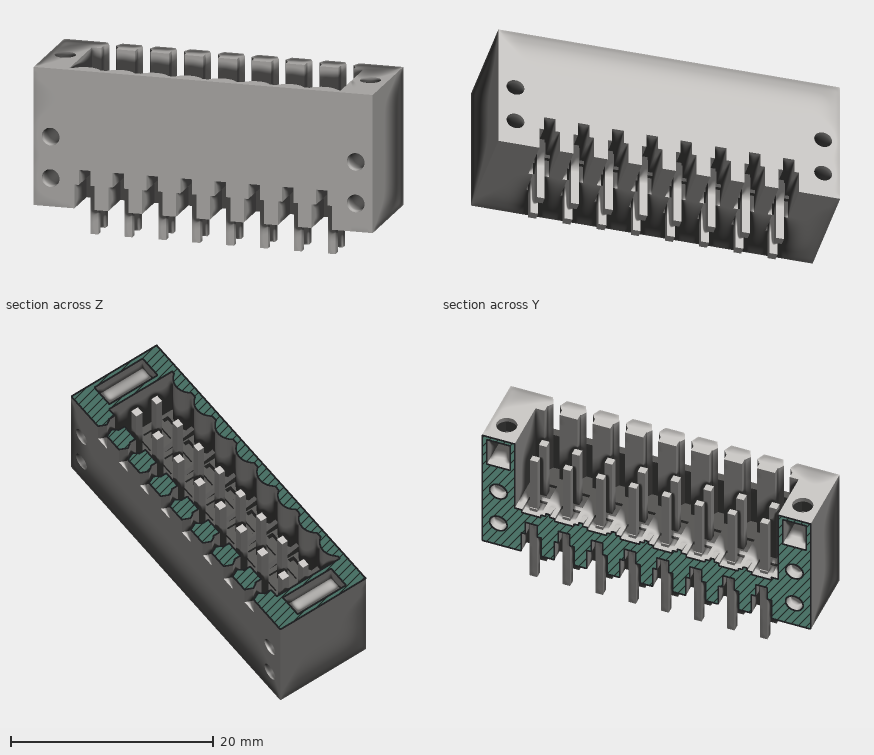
import cadquery as cq
length = 35.0
depth = 10.5
body_height = 14.2
tail_length = 3.5
pole_count = 8
pitch = 3.5

pocket_length = pole_count * pitch
pocket_front = -4.6
pocket_back = 3.1
floor_z = 5.6

slot_width = 1.58
slot_shoulder = 1.4
slot_waist = 0.7
slot_mouth = 1.47
slot_shoulder_y = 3.9
slot_waist_y = 4.4
mouth_depth = 4.2

bump_radius = 1.75
bump_top_y = -3.8

rib_width = 0.5
rib_end_y = -0.95
rib_height = 0.88

well_size = 2.0
well_depth = 0.35
groove_length = 2.73
groove_front = -3.78
groove_back = -3.08
groove_depth = 0.7

pin_size = 0.8
rear_row_y = 1.0
front_row_y = -1.47
pin_top_z = 11.9
pin_step = 0.1
row_ys = (rear_row_y, front_row_y)

wide_opening = 2.1
narrow_opening = 1.2
tall_height = 4.0
shoulder_height = 2.45
inner_height = 2.03
tunnel_height = 1.47

hole_x = 15.75
side_hole_diameter = 1.82
side_hole_heights = (2.9, 7.18)
top_hole_diameter = 2.1
top_hole_y = -0.2
top_hole_depth = 0.5
chamber_width = 2.45
chamber_length = 5.88
chamber_bottom_z = 10.5

front_face = -depth / 2
back_face = depth / 2
pole_xs = [(i - (pole_count - 1) / 2) * pitch for i in range(pole_count)]
gap_xs = [x + pitch / 2 for x in pole_xs[:-1]]


def block(x_mid, width, y_min, y_max, z_min, z_max):
    """Box centred on x_mid between the given Y and Z limits."""
    base = cq.Workplane("XY", origin=(x_mid, y_min, z_min))
    return base.box(width, y_max - y_min, z_max - z_min, centered=(True, False, False))


def coding_slot(x):
    """Hourglass slot: deep on the pocket side of its waist, shallower outside."""
    inner = (
        cq.Workplane("XY", origin=(x, 0, floor_z))
        .polyline(
            [
                (-slot_width / 2, pocket_back),
                (slot_width / 2, pocket_back),
                (slot_width / 2, slot_shoulder_y),
                (slot_shoulder / 2, slot_shoulder_y),
                (slot_waist / 2, slot_waist_y),
                (-slot_waist / 2, slot_waist_y),
                (-slot_shoulder / 2, slot_shoulder_y),
                (-slot_width / 2, slot_shoulder_y),
            ]
        )
        .close()
        .extrude(body_height - floor_z)
    )
    mouth = (
        cq.Workplane("XY", origin=(x, 0, body_height - mouth_depth))
        .polyline(
            [
                (-slot_waist / 2, slot_waist_y),
                (slot_waist / 2, slot_waist_y),
                (slot_mouth / 2, back_face),
                (-slot_mouth / 2, back_face),
            ]
        )
        .close()
        .extrude(mouth_depth)
    )
    return inner.union(mouth)


def wall_bump(x):
    """Round bump standing on the pocket side of the front wall."""
    cylinder = cq.Workplane("XY", origin=(x, bump_top_y - bump_radius, floor_z)).circle(bump_radius)
    cylinder = cylinder.extrude(body_height - floor_z)
    return cylinder.intersect(block(x, pitch, pocket_front, pocket_back, floor_z, body_height))


def wedge_rib(x):
    """Triangular rib sloping from the front wall down to the pocket floor."""
    return (
        cq.Workplane("YZ", origin=(x - rib_width / 2, 0, 0))
        .polyline([(pocket_front, floor_z), (rib_end_y, floor_z), (pocket_front, floor_z + rib_height)])
        .close()
        .extrude(rib_width)
    )


def front_opening(x):
    """Stepped opening that gives access to the pins from the front and below."""
    entry_end = front_row_y
    inner_end = front_row_y + pin_size / 2
    tunnel_end = rear_row_y + pin_size / 2
    upper = block(x, narrow_opening, front_face, entry_end, 0, tall_height)
    entry = block(x, wide_opening, front_face, entry_end, 0, shoulder_height)
    inner = block(x, wide_opening, entry_end, inner_end, 0, inner_height)
    tunnel = block(x, narrow_opening, inner_end, tunnel_end, 0, tunnel_height)
    return upper.union(entry).union(inner).union(tunnel)


body = block(0, length, front_face, back_face, 0, body_height)
body = body.cut(block(0, pocket_length, pocket_front, pocket_back, floor_z, body_height))

for x in pole_xs:
    body = body.cut(coding_slot(x))
    body = body.union(wall_bump(x))
    body = body.cut(block(x, groove_length, groove_front, groove_back, floor_z - groove_depth, floor_z))
    for y in row_ys:
        body = body.cut(
            block(x, well_size, y - well_size / 2, y + well_size / 2, floor_z - well_depth, floor_z)
        )
    body = body.cut(front_opening(x))

for x in gap_xs:
    body = body.union(wedge_rib(x))

for x in (-hole_x, hole_x):
    for z in side_hole_heights:
        body = body.cut(
            cq.Workplane("XZ", origin=(x, back_face, z)).circle(side_hole_diameter / 2).extrude(depth)
        )
    top_hole = cq.Workplane("XY", origin=(x, top_hole_y, body_height)).circle(top_hole_diameter / 2)
    body = body.cut(top_hole.extrude(-top_hole_depth))
    body = body.cut(
        block(
            x,
            chamber_width,
            top_hole_y - chamber_length / 2,
            top_hole_y + chamber_length / 2,
            chamber_bottom_z,
            body_height - top_hole_depth,
        )
    )

for x in pole_xs:
    for y in row_ys:
        y_min = y - pin_size / 2
        y_max = y + pin_size / 2
        tip_front = y_min + pin_step if y == front_row_y else y_min
        body = body.union(block(x, pin_size, y_min, y_max, -tail_length, floor_z))
        body = body.union(block(x, pin_size, tip_front, y_max, floor_z, pin_top_z))

result = body